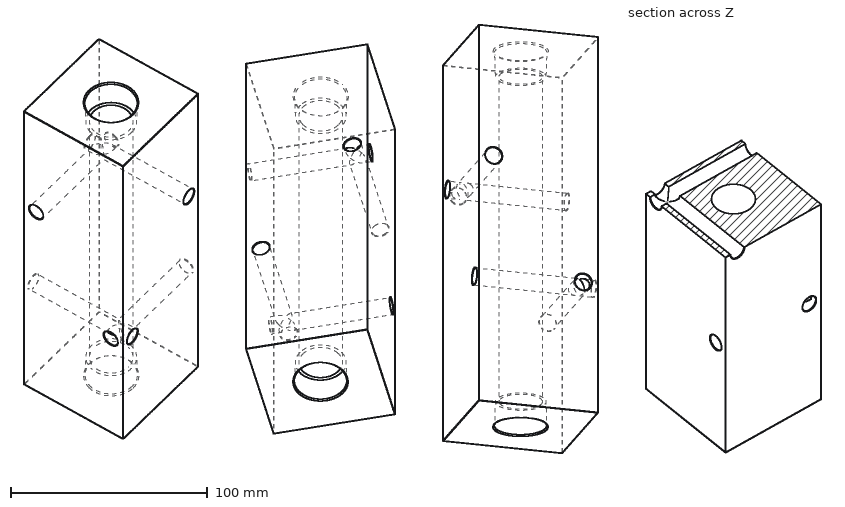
import cadquery as cq

length = 203.2
side = 63.5
edge_chamfer = 0.2

bore_diameter = 22.1
port_mouth_diameter = 28.0
port_outer_diameter = 26.6
port_inner_diameter = 25.8
port_depth = 13.8

cross_diameter = 8.7
cross_mouth_diameter = 9.3
cross_offset = 23.8
cross_height = side / 2


def countersunk_cutter(mouth_diameter, outer_diameter, inner_diameter, depth):
    """Cutter along +Z from the XY plane: a 45 degree chamfer, then a straight or tapered hole."""
    chamfer = (mouth_diameter - outer_diameter) / 2
    profile = [
        (0, 0),
        (mouth_diameter / 2, 0),
        (outer_diameter / 2, chamfer),
        (inner_diameter / 2, depth),
        (0, depth),
    ]
    return cq.Workplane("XZ").polyline(profile).close().revolve(360, (0, 0), (0, 1))


def make_block():
    """Square block with every outer edge lightly broken."""
    return cq.Workplane("XY").box(side, side, length).edges().chamfer(edge_chamfer)


def cut_ports(body):
    """Cut the through bore and the same port into both ends."""
    body = body.cut(cq.Workplane("XY").circle(bore_diameter / 2).extrude(length, both=True))
    port = countersunk_cutter(port_mouth_diameter, port_outer_diameter, port_inner_diameter, port_depth)
    lower_port = port.translate((0, 0, -length / 2))
    return body.cut(lower_port).cut(lower_port.mirror("XY"))


def cut_cross_holes(body):
    """Cut the cross holes, chamfered where they leave each face."""
    half_hole = countersunk_cutter(cross_mouth_diameter, cross_diameter, cross_diameter, side / 2)
    half_hole = half_hole.translate((0, 0, -side / 2))
    hole = half_hole.union(half_hole.mirror("XY"))
    along_x = hole.rotate((0, 0, 0), (0, 1, 0), 90)
    along_y = hole.rotate((0, 0, 0), (1, 0, 0), 90)
    for sign in (1, -1):
        body = body.cut(along_x.translate((0, sign * cross_offset, sign * cross_height)))
        body = body.cut(along_y.translate((-sign * cross_offset, 0, sign * cross_height)))
    return body


result = cut_cross_holes(cut_ports(make_block()))